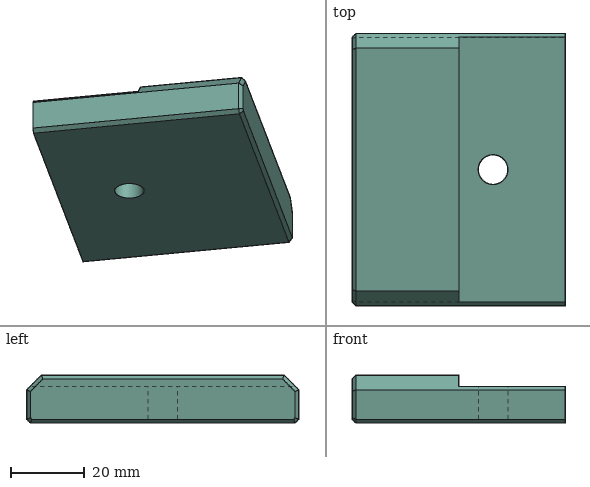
import cadquery as cq

length_x = 58.0
width_y = 74.0
height = 13.0

step_x = length_x / 2
step_height = 10.0

top_bevel = 4.0
edge_chamfer = 1.0

hole_diameter = 8.0
hole_x = 38.3


def make_block():
    """Block with wide top side bevels and chamfered bottom and left edges."""
    block = cq.Workplane("XY").box(length_x, width_y, height, centered=(False, True, False))
    block = block.edges("|X and >Z").chamfer(top_bevel)
    block = block.edges("|X and <Z").chamfer(edge_chamfer)
    return block.faces("<X").chamfer(edge_chamfer)


def make_step_cut():
    """Volume removed above the lowered half."""
    return cq.Workplane("XY").box(
        length_x - step_x, width_y, height - step_height, centered=(False, True, False)
    ).translate((step_x, 0, step_height))


def make_hole():
    """Vertical through hole in the lowered half."""
    return cq.Workplane("XY").center(hole_x, 0).circle(hole_diameter / 2).extrude(height)


result = make_block().cut(make_step_cut()).cut(make_hole())